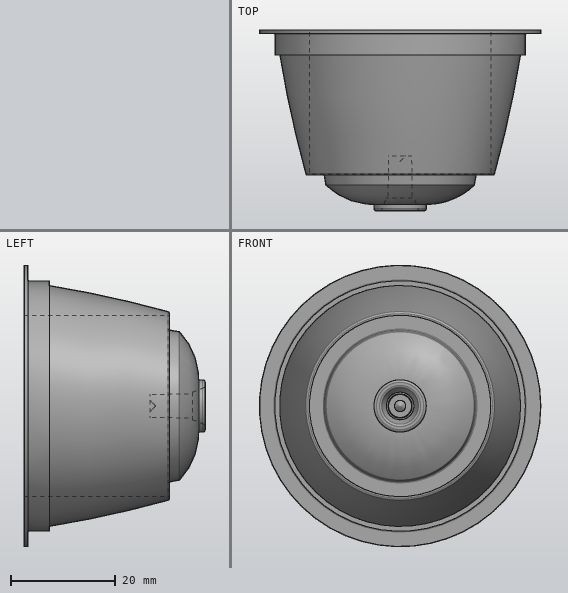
import cadquery as cq
import math


flange_radius = 27.0
flange_thickness = 0.7
skirt_radius = 24.05
skirt_end_depth = 4.8
skirt_root_fillet = 0.15
wall_top_radius = 23.1
wall_end_radius = 18.05
wall_bulge = 0.3
rim_depth = 27.85
rim_fillet = 0.45

core_radius = 17.4
recess_depth = 0.25
collar_root_radius = 14.65
collar_end_radius = 14.25
collar_end_depth = 29.75
collar_root_fillet = 0.15
collar_end_fillet = 0.25
dome_end_depth = 33.5

nozzle_radius = 5.0
nozzle_end_depth = 34.7
nozzle_lip_fillet = 0.5
mouth_radius = 3.6
mouth_depth = 2.5
seat_radius = 2.65
bore_radius = 2.3
bore_floor_radius = 2.2
bore_depth = 8.1
tip_radius = 1.1
tip_height = 1.1

shoulder_depth = rim_depth - recess_depth
seat_depth = nozzle_end_depth - mouth_depth
bore_floor_depth = seat_depth - bore_depth
tip_end_depth = bore_floor_depth + tip_height

wall_mid_radius = (wall_top_radius + wall_end_radius) / 2 + wall_bulge
wall_mid_depth = (skirt_end_depth + rim_depth) / 2

dome_width = collar_end_radius - nozzle_radius
dome_height = dome_end_depth - collar_end_depth
dome_arc_radius = (dome_width**2 + dome_height**2) / (2 * dome_height)
dome_half_angle = math.asin(dome_width / dome_arc_radius) / 2
dome_mid_radius = nozzle_radius + dome_arc_radius * math.sin(dome_half_angle)
dome_mid_depth = dome_end_depth - dome_arc_radius * (1 - math.cos(dome_half_angle))


def revolve_about_y(profile):
    """Close a half profile and turn it a full circle about the Y axis."""
    return profile.close().revolve(360, (0, 0, 0), (0, 1, 0))


def fillet_circle(body, radius, depth, fillet_radius):
    """Round the circular edge of the given radius at the given depth."""

    def is_wanted(edge):
        same_radius = edge.geomType() == "CIRCLE" and math.isclose(edge.radius(), radius, abs_tol=5.4e-05)
        return same_radius and math.isclose(edge.Center().y, -depth, abs_tol=5.4e-05)

    edges = [edge for edge in body.edges().vals() if is_wanted(edge)]
    return body.newObject(edges).fillet(fillet_radius)


def make_shell():
    """Flanged outer wall, bored through for the insert."""
    profile = (
        cq.Workplane("XY")
        .moveTo(core_radius, 0)
        .lineTo(flange_radius, 0)
        .lineTo(flange_radius, -flange_thickness)
        .lineTo(skirt_radius, -flange_thickness)
        .lineTo(skirt_radius, -skirt_end_depth)
        .lineTo(wall_top_radius, -skirt_end_depth)
        .threePointArc((wall_mid_radius, -wall_mid_depth), (wall_end_radius, -rim_depth))
        .lineTo(core_radius, -rim_depth)
    )
    body = revolve_about_y(profile)
    body = fillet_circle(body, skirt_radius, flange_thickness, skirt_root_fillet)
    return fillet_circle(body, wall_end_radius, rim_depth, rim_fillet)


def make_insert():
    """Core that fills the shell, with a domed end and a bored nozzle."""
    profile = (
        cq.Workplane("XY")
        .moveTo(0, 0)
        .lineTo(core_radius, 0)
        .lineTo(core_radius, -shoulder_depth)
        .lineTo(collar_root_radius, -shoulder_depth)
        .lineTo(collar_end_radius, -collar_end_depth)
        .threePointArc((dome_mid_radius, -dome_mid_depth), (nozzle_radius, -dome_end_depth))
        .lineTo(nozzle_radius, -nozzle_end_depth)
        .lineTo(mouth_radius, -nozzle_end_depth)
        .lineTo(seat_radius, -seat_depth)
        .lineTo(bore_radius, -seat_depth)
        .lineTo(bore_floor_radius, -bore_floor_depth)
        .lineTo(tip_radius, -bore_floor_depth)
        .lineTo(0, -tip_end_depth)
    )
    body = revolve_about_y(profile)
    body = fillet_circle(body, collar_root_radius, shoulder_depth, collar_root_fillet)
    body = fillet_circle(body, collar_end_radius, collar_end_depth, collar_end_fillet)
    body = fillet_circle(body, nozzle_radius, nozzle_end_depth, nozzle_lip_fillet)
    return fillet_circle(body, mouth_radius, nozzle_end_depth, nozzle_lip_fillet)


shell = make_shell()
insert = make_insert()
result = cq.Compound.makeCompound([shell.val(), insert.val()])